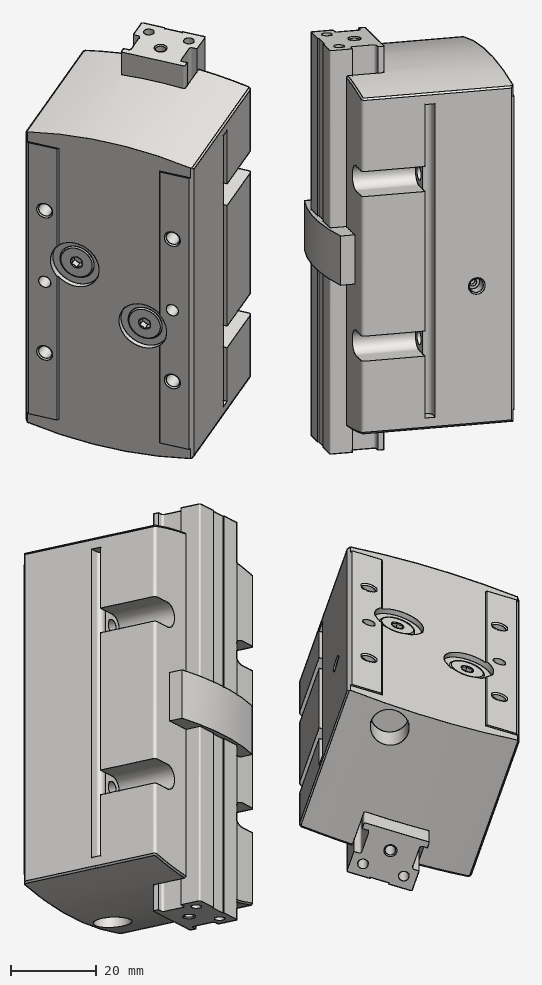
import cadquery as cq
import math


HOUSING_WIDTH = 42.0
HOUSING_LENGTH = 85.8
END_RADIUS = 100.0
STRIP_HEIGHT = 0.34
FRONT_Y = STRIP_HEIGHT
BACK_Y = 37.1
FRONT_CHAMFER = 0.6
END_CHAMFER = 0.4
BACK_FILLET = 0.8

STRIP_LENGTH = 76.1
STRIP_INNER_X = 12.9

GROOVE_WIDTH = 2.45
GROOVE_DEPTH = 3.3
GROOVE_LENGTH = STRIP_LENGTH
GROOVE_BACK_Y = 21.9

HOLE_X = 16.0
HOLE_Z = 20.0
MOUNT_HOLE_DIAMETER = 3.3
MOUNT_HOLE_MOUTH = 4.0
DOWEL_DIAMETER = 3.0
DOWEL_DEPTH = 5.9
HEAD_RECESS_WIDTH = 6.1

PLUG_X = 8.5
PLUG_Z = 6.5
PLUG_CENTERS = ((-PLUG_X, PLUG_Z), (PLUG_X, -PLUG_Z))
PLUG_DIAMETER = 8.5
PLUG_FACE_DIAMETER = 7.8
PLUG_LENGTH = 5.9
PLUG_PROTRUSION = 0.3
COUNTERBORE_DIAMETER = 12.1
COUNTERBORE_DEPTH = 1.3
SOCKET_MOUTH = 3.0
SOCKET_FLATS = 2.5
SOCKET_DEPTH = 2.0

PORT_DIAMETER = 9.0
PORT_DEPTH = 7.8
PORT_X = -9.0
PORT_Y = 5.8

SET_SCREW_Y = 9.3
SET_SCREW_Z = -7.1
SET_SCREW_DIAMETER = 3.3
SET_SCREW_MOUTH = 4.0
SET_SCREW_RECESS = 3.4
SET_SCREW_LENGTH = 3.9
SET_SCREW_BORE = 2.0
SET_SCREW_BORE_DEPTH = 1.5

RAIL_LENGTH = 98.0
RAIL_WIDTH = 16.0
RAIL_PROTRUSION = 3.9
RAIL_INSET = 9.2
RAIL_BACK_Y = BACK_Y + RAIL_PROTRUSION
RAIL_FRONT_Y = BACK_Y - RAIL_INSET
RAIL_EDGE_FILLET = 0.4
RELIEF_WIDTH = 4.5
RELIEF_DEPTH = 0.3
CHANNEL_DEPTH = 1.8
CHANNEL_WIDTH = 6.2
CHANNEL_INSET = 1.5
CHANNEL_BACK_Y = BACK_Y - CHANNEL_INSET
CHANNEL_FRONT_Y = CHANNEL_BACK_Y - CHANNEL_WIDTH
CHANNEL_FILLET = 0.6
END_HOLE_DIAMETER = 2.45
END_HOLE_DEPTH = 5.9
END_HOLE_X = 5.0
OUTER_END_HOLE_INSET = 3.0
CENTER_END_HOLE_INSET = 8.2
OUTER_END_HOLE_Y = RAIL_BACK_Y - OUTER_END_HOLE_INSET
CENTER_END_HOLE_Y = RAIL_BACK_Y - CENTER_END_HOLE_INSET
CENTER_END_HOLE_MOUTH = 3.0

CLAMP_WIDTH = 30.0
CLAMP_LENGTH = 12.0
CLAMP_TOP_Y = 42.3
CLAMP_SIDE_Y = 40.6

DRILL_HALF_ANGLE = math.radians(59)


def box(x_range, y_range, z_range):
    """Block given by its limits along each axis."""
    limits = (x_range, y_range, z_range)
    sizes = [high - low for low, high in limits]
    corner = cq.Vector(*[low for low, high in limits])
    return cq.Workplane(cq.Solid.makeBox(*sizes, corner))


def round_bar(diameter, length, start, direction):
    """Cylinder that runs from a start point along a direction."""
    return cq.Workplane(cq.Solid.makeCylinder(diameter / 2, length, cq.Vector(*start), cq.Vector(*direction)))


def cone(start_diameter, end_diameter, length, start, direction):
    """Cone that tapers from a start point along a direction."""
    radii = (start_diameter / 2, end_diameter / 2)
    return cq.Workplane(cq.Solid.makeCone(*radii, length, cq.Vector(*start), cq.Vector(*direction)))


def countersink(mouth, diameter, start, direction):
    """45-degree cone from a hole's mouth down to its diameter."""
    return cone(mouth, diameter, (mouth - diameter) / 2, start, direction)


def drilled_hole(diameter, depth, start, direction):
    """Blind hole with a drill-point bottom."""
    tip = cq.Vector(*start) + cq.Vector(*direction) * depth
    point = cone(diameter, 0, diameter / 2 / math.tan(DRILL_HALF_ANGLE), tip.toTuple(), direction)
    return round_bar(diameter, depth, start, direction).union(point)


def make_housing_blank():
    """Block with arched ends, chamfered front and end edges and rounded back edges."""
    half_width = HOUSING_WIDTH / 2
    crown_z = HOUSING_LENGTH / 2
    corner_z = crown_z - END_RADIUS + math.sqrt(END_RADIUS**2 - half_width**2)
    return (
        cq.Workplane("XZ", origin=(0, FRONT_Y, 0))
        .moveTo(-half_width, -corner_z)
        .threePointArc((0, -crown_z), (half_width, -corner_z))
        .lineTo(half_width, corner_z)
        .threePointArc((0, crown_z), (-half_width, corner_z))
        .close()
        .extrude(FRONT_Y - BACK_Y)
        .edges("|Z and <Y")
        .chamfer(FRONT_CHAMFER)
        .edges("|Z and >Y")
        .fillet(BACK_FILLET)
        .faces("<X or >X")
        .edges("|Y")
        .chamfer(END_CHAMFER)
    )


def make_strip(side):
    """Mounting strip with sloped flanks; the outer flank continues the housing chamfer."""
    outer_x = HOUSING_WIDTH / 2 - FRONT_CHAMFER
    return (
        cq.Workplane("XY", origin=(0, 0, -STRIP_LENGTH / 2))
        .moveTo(side * (STRIP_INNER_X - STRIP_HEIGHT), FRONT_Y)
        .lineTo(side * STRIP_INNER_X, 0)
        .lineTo(side * (outer_x - STRIP_HEIGHT), 0)
        .lineTo(side * outer_x, FRONT_Y)
        .close()
        .extrude(STRIP_LENGTH)
    )


def sensor_groove_cutter(side):
    """Groove along a side face, with a half-round floor."""
    radius = GROOVE_WIDTH / 2
    side_x = side * HOUSING_WIDTH / 2
    center_x = side_x - side * (GROOVE_DEPTH - radius)
    start = (center_x, GROOVE_BACK_Y - radius, -GROOVE_LENGTH / 2)
    z_range = (-GROOVE_LENGTH / 2, GROOVE_LENGTH / 2)
    opening = box(sorted((center_x, side_x)), (GROOVE_BACK_Y - GROOVE_WIDTH, GROOVE_BACK_Y), z_range)
    return opening.union(round_bar(GROOVE_WIDTH, GROOVE_LENGTH, start, (0, 0, 1)))


def mounting_hole_cutter(side, z):
    """Through hole with a countersunk mouth and a head recess open to the back and the side."""
    mouth = (side * HOLE_X, 0, z)
    hole = round_bar(MOUNT_HOLE_DIAMETER, BACK_Y, mouth, (0, 1, 0))
    recess_depth = BACK_Y - GROOVE_BACK_Y
    recess_end = round_bar(HEAD_RECESS_WIDTH, recess_depth, (side * HOLE_X, GROOVE_BACK_Y, z), (0, 1, 0))
    recess_opening = box(
        sorted((side * HOLE_X, side * HOUSING_WIDTH / 2)),
        (GROOVE_BACK_Y, BACK_Y),
        (z - HEAD_RECESS_WIDTH / 2, z + HEAD_RECESS_WIDTH / 2),
    )
    sink = countersink(MOUNT_HOLE_MOUTH, MOUNT_HOLE_DIAMETER, mouth, (0, 1, 0))
    return hole.union(sink).union(recess_end).union(recess_opening)


def plug_seat_cutter(x, z):
    """Shallow counterbore and the bore that holds a plug."""
    floor_y = FRONT_Y + COUNTERBORE_DEPTH
    counterbore = round_bar(COUNTERBORE_DIAMETER, floor_y, (x, 0, z), (0, 1, 0))
    bore_depth = PLUG_LENGTH - PLUG_PROTRUSION
    return counterbore.union(round_bar(PLUG_DIAMETER, bore_depth, (x, floor_y, z), (0, 1, 0)))


def set_screw_hole_cutter():
    """Countersunk blind hole, as deep as the recess and the set screw together."""
    mouth = (-HOUSING_WIDTH / 2, SET_SCREW_Y, SET_SCREW_Z)
    hole = round_bar(SET_SCREW_DIAMETER, SET_SCREW_RECESS + SET_SCREW_LENGTH, mouth, (1, 0, 0))
    return hole.union(countersink(SET_SCREW_MOUTH, SET_SCREW_DIAMETER, mouth, (1, 0, 0)))


def make_rail_envelope():
    """Rail with rounded long edges, before its channels, relief and holes."""
    half_rail = RAIL_WIDTH / 2
    half_length = RAIL_LENGTH / 2
    envelope = box((-half_rail, half_rail), (RAIL_FRONT_Y, RAIL_BACK_Y), (-half_length, half_length))
    return envelope.edges("|Z").fillet(RAIL_EDGE_FILLET)


def rail_relief_cutter():
    """Shallow relief along the middle of the rail's back."""
    return box(
        (-RELIEF_WIDTH / 2, RELIEF_WIDTH / 2),
        (RAIL_BACK_Y - RELIEF_DEPTH, RAIL_BACK_Y),
        (-RAIL_LENGTH / 2, RAIL_LENGTH / 2),
    )


def make_housing():
    housing = make_housing_blank()
    for side in (-1, 1):
        housing = housing.union(make_strip(side))
    for side in (-1, 1):
        housing = housing.cut(sensor_groove_cutter(side))
        housing = housing.cut(drilled_hole(DOWEL_DIAMETER, DOWEL_DEPTH, (side * HOLE_X, 0, 0), (0, 1, 0)))
        for z in (-HOLE_Z, HOLE_Z):
            housing = housing.cut(mounting_hole_cutter(side, z))
    for x, z in PLUG_CENTERS:
        housing = housing.cut(plug_seat_cutter(x, z))

    port_start = (PORT_X, PORT_Y, -HOUSING_LENGTH / 2)
    housing = housing.cut(round_bar(PORT_DIAMETER, PORT_DEPTH, port_start, (0, 0, 1)))
    housing = housing.cut(set_screw_hole_cutter())

    return housing.cut(make_rail_envelope())


def channel_cutter(side):
    """Channel along a side of the rail, rounded at its floor."""
    half_rail = RAIL_WIDTH / 2
    x_range = sorted((side * half_rail, side * (half_rail - CHANNEL_DEPTH)))
    z_range = (-RAIL_LENGTH / 2, RAIL_LENGTH / 2)
    channel = box(x_range, (CHANNEL_FRONT_Y, CHANNEL_BACK_Y), z_range)
    floor_face = "<X" if side > 0 else ">X"
    return channel.faces(floor_face).edges("|Z").fillet(CHANNEL_FILLET)


def make_rail():
    """Rail with side channels, a shallow relief along its back and three holes in each end."""
    half_length = RAIL_LENGTH / 2
    rail = make_rail_envelope().cut(rail_relief_cutter())
    for side in (-1, 1):
        rail = rail.cut(channel_cutter(side))

    hole_centers = (
        (-END_HOLE_X, OUTER_END_HOLE_Y),
        (END_HOLE_X, OUTER_END_HOLE_Y),
        (0, CENTER_END_HOLE_Y),
    )
    for end in (-1, 1):
        inward = (0, 0, -end)
        for x, y in hole_centers:
            start = (x, y, end * half_length)
            rail = rail.cut(drilled_hole(END_HOLE_DIAMETER, END_HOLE_DEPTH, start, inward))
        center_start = (0, CENTER_END_HOLE_Y, end * half_length)
        rail = rail.cut(countersink(CENTER_END_HOLE_MOUTH, END_HOLE_DIAMETER, center_start, inward))
    return rail


def make_clamp():
    """Crowned clamp that straddles the rail, fills its relief and rests on the housing back."""
    half_width = CLAMP_WIDTH / 2
    clamp = (
        cq.Workplane("XY", origin=(0, 0, -CLAMP_LENGTH / 2))
        .moveTo(-half_width, BACK_Y)
        .lineTo(half_width, BACK_Y)
        .lineTo(half_width, CLAMP_SIDE_Y)
        .threePointArc((0, CLAMP_TOP_Y), (-half_width, CLAMP_SIDE_Y))
        .close()
        .extrude(CLAMP_LENGTH)
    )
    rail_seat = make_rail_envelope().cut(rail_relief_cutter())
    return clamp.cut(rail_seat)


def make_plug(x, z):
    """Round plug with a chamfered face and a hexagonal socket."""
    face_y = FRONT_Y + COUNTERBORE_DEPTH - PLUG_PROTRUSION
    plug = round_bar(PLUG_DIAMETER, PLUG_LENGTH, (x, face_y, z), (0, 1, 0))
    plug = plug.faces("<Y").chamfer((PLUG_DIAMETER - PLUG_FACE_DIAMETER) / 2)
    socket = (
        cq.Workplane("XZ", origin=(x, face_y, z))
        .polygon(6, SOCKET_FLATS, circumscribed=True)
        .extrude(-SOCKET_DEPTH)
    )
    return plug.cut(socket).cut(countersink(SOCKET_MOUTH, SOCKET_FLATS, (x, face_y, z), (0, 1, 0)))


def make_set_screw():
    """Set screw below the mouth of its hole, with a drilled centre."""
    face = (-HOUSING_WIDTH / 2 + SET_SCREW_RECESS, SET_SCREW_Y, SET_SCREW_Z)
    screw = round_bar(SET_SCREW_DIAMETER, SET_SCREW_LENGTH, face, (1, 0, 0))
    return screw.cut(drilled_hole(SET_SCREW_BORE, SET_SCREW_BORE_DEPTH, face, (1, 0, 0)))


housing = make_housing()
rail = make_rail()
clamp = make_clamp()
plugs = [make_plug(x, z) for x, z in PLUG_CENTERS]
set_screw = make_set_screw()

result = cq.Compound.makeCompound(
    [
        housing.val(),
        rail.val(),
        clamp.val(),
        *[plug.val() for plug in plugs],
        set_screw.val(),
    ]
)